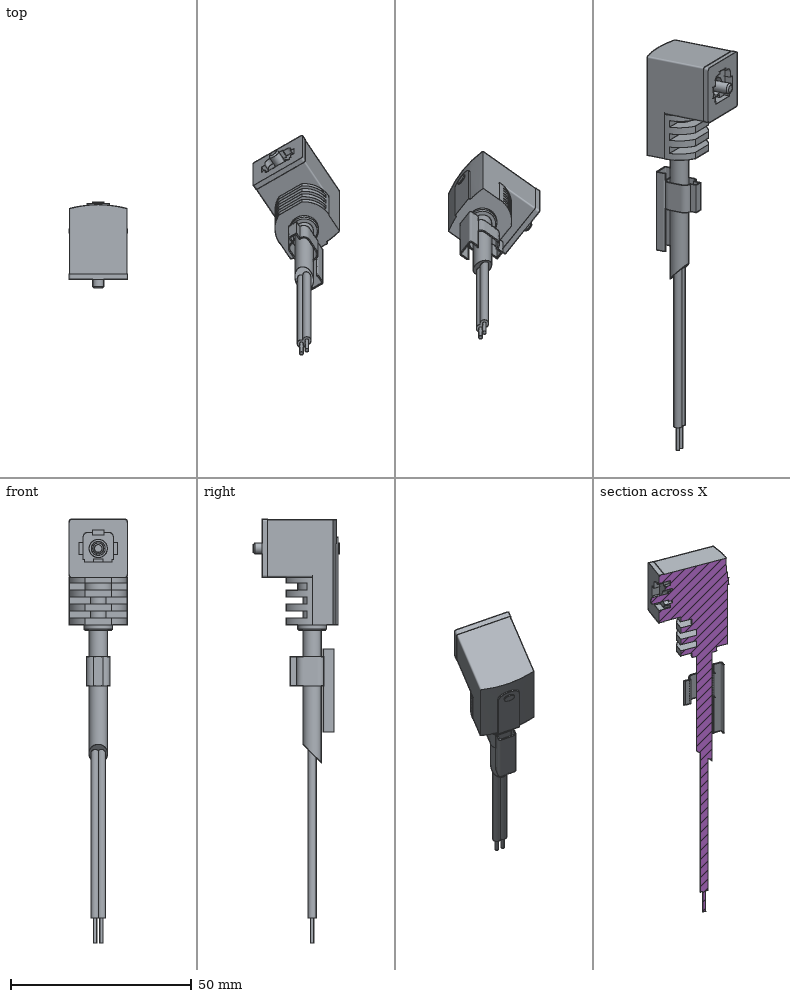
import cadquery as cq
import math

OVERLAP = 0.6

TOP_Z = 117.5
HEAD_WIDTH = 16.2
BEZEL_LIP = 0.1
SHELL_HALF_WIDTH = HEAD_WIDTH / 2 - BEZEL_LIP
SHELL_TOP_Z = TOP_Z - BEZEL_LIP
HEAD_BOTTOM_Z = TOP_Z - HEAD_WIDTH
SHELL_UNDERSIDE_Z = HEAD_BOTTOM_Z + BEZEL_LIP
SCREW_Z = TOP_Z - HEAD_WIDTH / 2
HOUSING_BOTTOM_Z = 88.3
LEG_FRONT_Y = 0.1
FRONT_Y = -13.9
BEZEL_THICKNESS = 1.5
BEZEL_BACK_Y = FRONT_Y + BEZEL_THICKNESS
BEZEL_CORNER_RADIUS = 0.7
HEAD_EDGE_RADIUS = 0.5
BACK_SIDE_Y = 5.8
BACK_CREST_Y = 6.8

PANEL_WIDTH = 6.3
PANEL_BACK_Y = 7.2

SOCKET_DEPTH = 1.8
SOCKET_FLOOR_Y = FRONT_Y + SOCKET_DEPTH
SOCKET_WIDTH = 8.3
SOCKET_TOP_Z = 113.9
SOCKET_BOTTOM_Z = 105.6
SOCKET_CORNER_RADIUS = 1.3
SOCKET_STEP_WIDTH = 7.5
SOCKET_STEP_HEIGHT = 0.7
KEY_SIZE = 3.3
SIDE_KEY_SPAN = 10.6
TOP_KEY_TOP_Z = 114.6
TOP_KEY_BOTTOM_Z = 113.2
KEY_DEPTH = 3.5
BOTTOM_KEY_WIDTH = 2.6
BOTTOM_KEY_HEIGHT = 0.8

SCREW_DIAMETER = 3.0
SCREW_CHAMFER = 0.5
SCREW_TIP_Y = -16.3
SCREW_BACK_Y = 7.5
SHOULDER_DIAMETER = 3.9
SHOULDER_LENGTH = 1.2
SCREW_HOLE_DIAMETER = 5.0
SCREW_HOLE_DEPTH = 2.4

FIN_RADIUS = HEAD_WIDTH / 2
FIN_FLAT_WIDTH = 7.4
SLOT_BACK_Y = -1.4
SLOT_HEIGHT = 1.9
FIN_PITCH = 3.9
FIRST_SLOT_Z = 90.1
SLOT_COUNT = 3

JACKET_DIAMETER = 5.2
JACKET_BOTTOM_Z = 50.0
COLLAR_DIAMETER = 8.0
COLLAR_HEIGHT = 1.5
COLLAR_CHAMFER = 0.4
WIRE_DIAMETER = 2.4
WIRE_PITCH = 1.8
WIRE_BOTTOM_Z = 6.9
CONDUCTOR_DIAMETER = 1.0

CLIP_WALL = 0.4
BAND_HALF_WIDTH = 3.3
BAND_BACK_Y = 3.4
BAND_FRONT_Y = -4.3
BAND_CORNER_RADIUS = 1.9
BAND_BOTTOM_Z = 71.3
BAND_HEIGHT = 8.1
CLASP_WIDTH = 2.6
CLASP_FRONT_Y = -6.1
HOLDER_WIDTH = 5.2
HOLDER_SLOT_WIDTH = 4.2
HOLDER_BACK_Y = 6.1
HOLDER_FRONT_Y = BAND_BACK_Y - CLIP_WALL
HOLDER_CORNER_RADIUS = 0.6
HOLDER_BOTTOM_Z = 58.5
HOLDER_HEIGHT = 23.0


def block(x0, x1, y0, y1, z0, z1):
    """Box given by its limits along X, Y and Z."""
    return cq.Workplane("XY").box(x1 - x0, y1 - y0, z1 - z0, centered=False).translate((x0, y0, z0))


def centred_block(width, y0, y1, z0, z1):
    """Box centred on X = 0."""
    return block(-width / 2, width / 2, y0, y1, z0, z1)


def upright_rod(diameter, z0, z1, x=0.0):
    """Cylinder parallel to the cable."""
    return cq.Workplane("XY", origin=(x, 0, z0)).circle(diameter / 2).extrude(z1 - z0)


def screw_axis_rod(diameter, y0, y1):
    """Cylinder on the screw axis, from y0 back to y1."""
    return cq.Workplane("XZ", origin=(0, y0, SCREW_Z)).circle(diameter / 2).extrude(y0 - y1)


def make_shell():
    """L-shaped housing with a bowed back: the plug head and the leg below it."""
    footprint = (
        cq.Workplane("XY", origin=(0, 0, HOUSING_BOTTOM_Z))
        .moveTo(-SHELL_HALF_WIDTH, BEZEL_BACK_Y)
        .lineTo(-SHELL_HALF_WIDTH, BACK_SIDE_Y)
        .threePointArc((0, BACK_CREST_Y), (SHELL_HALF_WIDTH, BACK_SIDE_Y))
        .lineTo(SHELL_HALF_WIDTH, BEZEL_BACK_Y)
        .close()
    )
    column = footprint.extrude(SHELL_TOP_Z - HOUSING_BOTTOM_Z)
    below_head = centred_block(HEAD_WIDTH, BEZEL_BACK_Y, BACK_CREST_Y, HOUSING_BOTTOM_Z, SHELL_UNDERSIDE_Z)
    head = column.cut(below_head).edges("|Y").fillet(HEAD_EDGE_RADIUS)
    leg_space = centred_block(HEAD_WIDTH, LEG_FRONT_Y, BACK_CREST_Y, HOUSING_BOTTOM_Z, SCREW_Z)
    return head.union(column.intersect(leg_space))


def make_bezel():
    """Square plate on the front of the head, standing slightly proud of the shell."""
    bezel = centred_block(HEAD_WIDTH, FRONT_Y, BEZEL_BACK_Y, HEAD_BOTTOM_Z, TOP_Z)
    return bezel.edges("|Y").fillet(BEZEL_CORNER_RADIUS)


def make_back_panel():
    """Thin round-topped panel on the back, arched around the screw."""
    y0 = BACK_CREST_Y - OVERLAP
    strip = centred_block(PANEL_WIDTH, y0, PANEL_BACK_Y, HOUSING_BOTTOM_Z, SCREW_Z)
    return strip.union(screw_axis_rod(PANEL_WIDTH, y0, PANEL_BACK_Y))


def make_socket():
    """Volume of the front recess: stepped pocket, screw hole and keyways deeper than the pocket."""
    key_floor_y = FRONT_Y + KEY_DEPTH
    step_top_z = SOCKET_BOTTOM_Z + SOCKET_STEP_HEIGHT
    bottom_key_top_z = SOCKET_BOTTOM_Z + BOTTOM_KEY_HEIGHT
    side_key_z = SCREW_Z - KEY_SIZE / 2
    pocket = centred_block(SOCKET_WIDTH, FRONT_Y, SOCKET_FLOOR_Y, step_top_z, SOCKET_TOP_Z)
    pocket = pocket.edges("|Y and >Z").fillet(SOCKET_CORNER_RADIUS)
    step = centred_block(SOCKET_STEP_WIDTH, FRONT_Y, SOCKET_FLOOR_Y, SOCKET_BOTTOM_Z, step_top_z)
    top_key = centred_block(KEY_SIZE, FRONT_Y, key_floor_y, TOP_KEY_BOTTOM_Z, TOP_KEY_TOP_Z)
    bottom_key = centred_block(BOTTOM_KEY_WIDTH, FRONT_Y, key_floor_y, SOCKET_BOTTOM_Z, bottom_key_top_z)
    screw_hole = screw_axis_rod(SCREW_HOLE_DIAMETER, FRONT_Y, SOCKET_FLOOR_Y + SCREW_HOLE_DEPTH)
    socket = pocket.union(step).union(top_key).union(bottom_key).union(screw_hole)
    for x0, x1 in ((-SIDE_KEY_SPAN / 2, -SOCKET_WIDTH / 2), (SOCKET_WIDTH / 2, SIDE_KEY_SPAN / 2)):
        socket = socket.union(block(x0, x1, FRONT_Y, key_floor_y, side_key_z, side_key_z + KEY_SIZE))
    return socket


def make_screw():
    """Screw running through the head, with a shoulder at the bottom of the screw hole."""
    shank = screw_axis_rod(SCREW_DIAMETER, SCREW_TIP_Y, SCREW_BACK_Y)
    shank = shank.faces("<Y").chamfer(SCREW_CHAMFER)
    hole_floor_y = SOCKET_FLOOR_Y + SCREW_HOLE_DEPTH
    shoulder = screw_axis_rod(SHOULDER_DIAMETER, hole_floor_y - SHOULDER_LENGTH, hole_floor_y + OVERLAP)
    return shank.union(shoulder)


def make_fins():
    """Half-round bend relief with a flat front, cut into fins, with a round core in the top slot."""
    half_flat = FIN_FLAT_WIDTH / 2
    flat_y = -math.sqrt(FIN_RADIUS**2 - half_flat**2)
    mid_arc = FIN_RADIUS * math.sqrt(0.5)
    fins = (
        cq.Workplane("XY", origin=(0, 0, HOUSING_BOTTOM_Z))
        .moveTo(-FIN_RADIUS, LEG_FRONT_Y)
        .threePointArc((-mid_arc, -mid_arc), (-half_flat, flat_y))
        .lineTo(half_flat, flat_y)
        .threePointArc((mid_arc, -mid_arc), (FIN_RADIUS, LEG_FRONT_Y))
        .close()
        .extrude(SHELL_UNDERSIDE_Z - HOUSING_BOTTOM_Z)
    )
    for i in range(SLOT_COUNT):
        slot_z = FIRST_SLOT_Z + i * FIN_PITCH
        slot = centred_block(HEAD_WIDTH, -FIN_RADIUS, SLOT_BACK_Y, slot_z, slot_z + SLOT_HEIGHT)
        fins = fins.cut(slot)
    top_slot_z = FIRST_SLOT_Z + (SLOT_COUNT - 1) * FIN_PITCH
    core = upright_rod(COLLAR_DIAMETER, top_slot_z, SHELL_UNDERSIDE_Z)
    return fins.union(core)


def make_cable():
    """Collar, jacket with a 45 degree cut end, and two wires with bare conductors."""
    collar = upright_rod(COLLAR_DIAMETER, HOUSING_BOTTOM_Z - COLLAR_HEIGHT, HOUSING_BOTTOM_Z + OVERLAP)
    collar = collar.faces("<Z").chamfer(COLLAR_CHAMFER)

    radius = JACKET_DIAMETER / 2
    jacket = upright_rod(JACKET_DIAMETER, JACKET_BOTTOM_Z, HEAD_BOTTOM_Z)
    wedge = (
        cq.Workplane("YZ", origin=(-radius, 0, JACKET_BOTTOM_Z))
        .polyline([(-radius, 0), (radius, 0), (-radius, JACKET_DIAMETER)])
        .close()
        .extrude(JACKET_DIAMETER)
    )
    cable = collar.union(jacket.cut(wedge))

    wire_top_z = JACKET_BOTTOM_Z + JACKET_DIAMETER
    for x in (-WIRE_PITCH / 2, WIRE_PITCH / 2):
        cable = cable.union(upright_rod(WIRE_DIAMETER, WIRE_BOTTOM_Z, wire_top_z, x))
        cable = cable.union(upright_rod(CONDUCTOR_DIAMETER, 0, WIRE_BOTTOM_Z + OVERLAP, x))
    return cable


def make_connector():
    """Plug head, screw, fins and cable as one solid."""
    connector = make_shell().union(make_bezel()).union(make_back_panel()).cut(make_socket())
    return connector.union(make_screw()).union(make_fins()).union(make_cable())


def band_outline(inset):
    """Band around the cable with its clasp, shrunk by the given inset."""
    z1 = BAND_BOTTOM_Z + BAND_HEIGHT
    loop = centred_block(
        2 * (BAND_HALF_WIDTH - inset), BAND_FRONT_Y + inset, BAND_BACK_Y - inset, BAND_BOTTOM_Z, z1
    )
    loop = loop.edges("|Z").fillet(BAND_CORNER_RADIUS - inset)
    clasp = centred_block(CLASP_WIDTH - 2 * inset, CLASP_FRONT_Y + inset, 0, BAND_BOTTOM_Z, z1)
    return loop.union(clasp)


def holder_outline(inset):
    """Label holder sleeve, shrunk by the given inset."""
    holder = centred_block(
        HOLDER_WIDTH - 2 * inset,
        HOLDER_FRONT_Y + inset,
        HOLDER_BACK_Y - inset,
        HOLDER_BOTTOM_Z,
        HOLDER_BOTTOM_Z + HOLDER_HEIGHT,
    )
    return holder.edges("|Z").fillet(HOLDER_CORNER_RADIUS - inset)


def make_label_clip():
    """Thin-walled band clipped round the cable, carrying a label holder slotted along its front."""
    slot = centred_block(
        HOLDER_SLOT_WIDTH,
        HOLDER_FRONT_Y,
        HOLDER_FRONT_Y + CLIP_WALL,
        HOLDER_BOTTOM_Z,
        HOLDER_BOTTOM_Z + HOLDER_HEIGHT,
    )
    holder = holder_outline(0).cut(holder_outline(CLIP_WALL)).cut(slot)
    band = band_outline(0).cut(band_outline(CLIP_WALL))
    return holder.union(band)


connector = make_connector()
label_clip = make_label_clip()
result = cq.Compound.makeCompound([connector.val(), label_clip.val()])